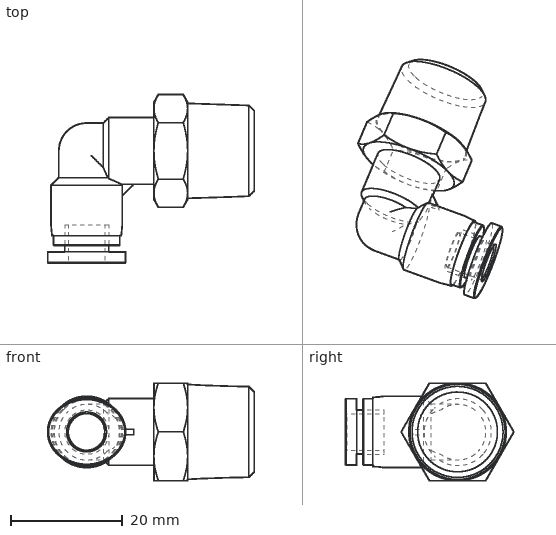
import cadquery as cq
import math


bend_diameter = 10.0
collar_diameter = 12.0
collar_start = 3.0
socket_diameter = 12.8
socket_cone_start = 4.77
socket_cone_end = 6.15
socket_taper_start = 13.15
socket_taper_end = 15.13
socket_taper_depth = 0.2
ring_diameter = 11.9
socket_end = 16.95
ring_chamfer = 0.15

gusset_thickness = 1.0
gusset_collar_reach = 8.4

hex_across_flats = 17.45
hex_start = 12.02
hex_width = 6.03
hex_chamfer_angle = 30.0
thread_root_diameter = 17.0
thread_tip_diameter = 16.28
thread_chamfer = 1.0
fitting_end = 30.0

overall_depth = 30.2
neck_diameter = 7.9
bore_diameter = 6.55
bore_chamfer = 0.3
flange_width = 14.0
flange_height = ring_diameter
flange_start = 18.05
flange_chamfer = 0.2
sleeve_inner_end = socket_taper_start

hex_end = hex_start + hex_width
hex_across_corners = hex_across_flats / math.cos(math.radians(30))
sleeve_end = overall_depth - hex_across_corners / 2


def revolve_on_x(profile):
    """Revolve (axial, radius) points about the X axis."""
    points = [(profile[0][0], 0), *profile, (profile[-1][0], 0)]
    return cq.Workplane("XY").polyline(points).close().revolve(360, (0, 0), (1, 0))


def revolve_on_socket_axis(profile):
    """Revolve (axial, radius) points about Y, the axial distance running towards -Y."""
    return revolve_on_x(profile).rotate((0, 0, 0), (0, 0, 1), -90)


def make_gusset():
    """Thin triangular web with its sloping edge at 45 degrees."""
    corner = bend_diameter / 2
    slope_sum = gusset_collar_reach + collar_diameter / 2
    tip = slope_sum - corner
    return (
        cq.Workplane("XY")
        .polyline([(corner, -corner), (tip, -corner), (corner, -tip)])
        .close()
        .extrude(gusset_thickness / 2, both=True)
    )


def make_elbow():
    bend_radius = bend_diameter / 2
    collar_radius = collar_diameter / 2
    socket_radius = socket_diameter / 2
    ring_radius = ring_diameter / 2
    collar_chamfer = collar_radius - bend_radius
    bend = cq.Workplane("XY").sphere(bend_radius)
    threaded_leg = revolve_on_x([
        (0, bend_radius),
        (collar_start, bend_radius),
        (collar_start + collar_chamfer, collar_radius),
        (hex_start, collar_radius),
    ])
    socket_leg = revolve_on_socket_axis([
        (0, bend_radius),
        (socket_cone_start, bend_radius),
        (socket_cone_end, socket_radius),
        (socket_taper_start, socket_radius),
        (socket_taper_end, socket_radius - socket_taper_depth),
        (socket_taper_end, ring_radius),
        (socket_end - ring_chamfer, ring_radius),
        (socket_end, ring_radius - ring_chamfer),
    ])
    neck_recess = revolve_on_socket_axis([
        (sleeve_inner_end, neck_diameter / 2),
        (socket_end, neck_diameter / 2),
    ])
    return bend.union(threaded_leg).union(socket_leg).union(make_gusset()).cut(neck_recess)


def make_threaded_fitting():
    flat_radius = hex_across_flats / 2
    corner_radius = hex_across_corners / 2
    chamfer_length = (corner_radius - flat_radius) * math.tan(math.radians(hex_chamfer_angle))
    hexagon = (
        cq.Workplane("YZ", origin=(hex_start, 0, 0))
        .polygon(6, hex_across_corners)
        .extrude(hex_width)
    )
    chamfer_envelope = revolve_on_x([
        (hex_start, flat_radius),
        (hex_start + chamfer_length, corner_radius),
        (hex_end - chamfer_length, corner_radius),
        (hex_end, flat_radius),
    ])
    thread = revolve_on_x([
        (hex_end, thread_root_diameter / 2),
        (fitting_end - thread_chamfer, thread_tip_diameter / 2),
        (fitting_end, thread_tip_diameter / 2 - thread_chamfer),
    ])
    return hexagon.intersect(chamfer_envelope).union(thread)


def make_release_sleeve():
    neck = revolve_on_socket_axis([
        (sleeve_inner_end, neck_diameter / 2),
        (flange_start, neck_diameter / 2),
    ])
    flange = (
        cq.Workplane("XZ", origin=(0, -flange_start, 0))
        .ellipse(flange_width / 2, flange_height / 2)
        .extrude(sleeve_end - flange_start)
        .faces("<Y")
        .chamfer(flange_chamfer)
    )
    bore = revolve_on_socket_axis([
        (sleeve_inner_end, bore_diameter / 2),
        (sleeve_end - bore_chamfer, bore_diameter / 2),
        (sleeve_end, bore_diameter / 2 + bore_chamfer),
    ])
    return neck.union(flange).cut(bore)


elbow = make_elbow()
threaded_fitting = make_threaded_fitting()
release_sleeve = make_release_sleeve()

result = cq.Compound.makeCompound([elbow.val(), threaded_fitting.val(), release_sleeve.val()])